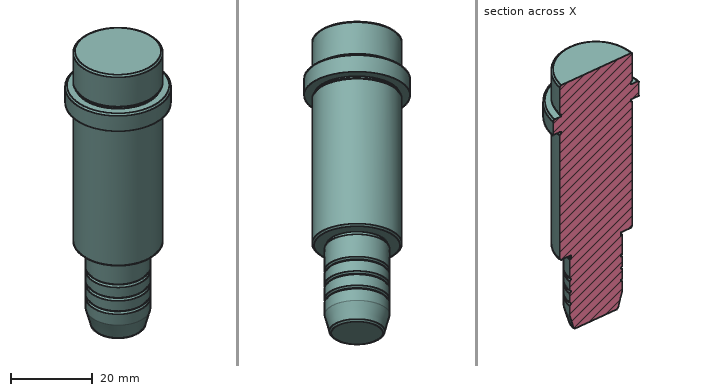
import cadquery as cq

total_height = 80.0
collar_top = 70.0
collar_bottom = 65.0
body_bottom = 24.0
spigot_top = 23.0
taper_top = 5.0

body_radius = 22.0 / 2
collar_radius = 26.0 / 2
spigot_radius = 8.0
tip_radius = 6.8

chamfer = 0.5
relief_depth = 0.5
relief_height = 1.0
groove_depth = 0.5
groove_width = 1.0
groove_spacing = 3.9
lowest_groove = 8.6
groove_count = 3

neck_radius = body_radius - relief_depth
spigot_neck_radius = spigot_radius - groove_depth


def build_spigot_profile():
    """Trace the half section of the spigot from the tip to the body."""
    profile = (
        cq.Workplane("XZ")
        .lineTo(tip_radius - chamfer, 0)
        .lineTo(tip_radius, chamfer)
        .lineTo(spigot_radius, taper_top)
    )
    for index in range(groove_count):
        centre = lowest_groove + index * groove_spacing
        profile = (
            profile.lineTo(spigot_radius, centre - groove_width / 2)
            .lineTo(spigot_neck_radius, centre)
            .lineTo(spigot_radius, centre + groove_width / 2)
        )
    return (
        profile.lineTo(spigot_radius, spigot_top)
        .lineTo(spigot_neck_radius, spigot_top)
        .lineTo(spigot_neck_radius, body_bottom)
    )


def add_body_and_head(profile):
    """Continue the half section through the body, collar and head."""
    return (
        profile.lineTo(body_radius - chamfer, body_bottom)
        .lineTo(body_radius, body_bottom + chamfer)
        .lineTo(body_radius, collar_bottom - relief_height)
        .lineTo(neck_radius, collar_bottom - relief_height + relief_depth)
        .lineTo(neck_radius, collar_bottom)
        .lineTo(collar_radius, collar_bottom)
        .lineTo(collar_radius, collar_top - chamfer)
        .lineTo(collar_radius - chamfer, collar_top)
        .lineTo(neck_radius, collar_top)
        .lineTo(neck_radius, collar_top + relief_height - relief_depth)
        .lineTo(body_radius, collar_top + relief_height)
        .lineTo(body_radius, total_height - chamfer)
        .lineTo(body_radius - chamfer, total_height)
        .lineTo(0, total_height)
        .close()
    )


half_section = add_body_and_head(build_spigot_profile())
result = half_section.revolve(360, (0, 0), (0, 1))